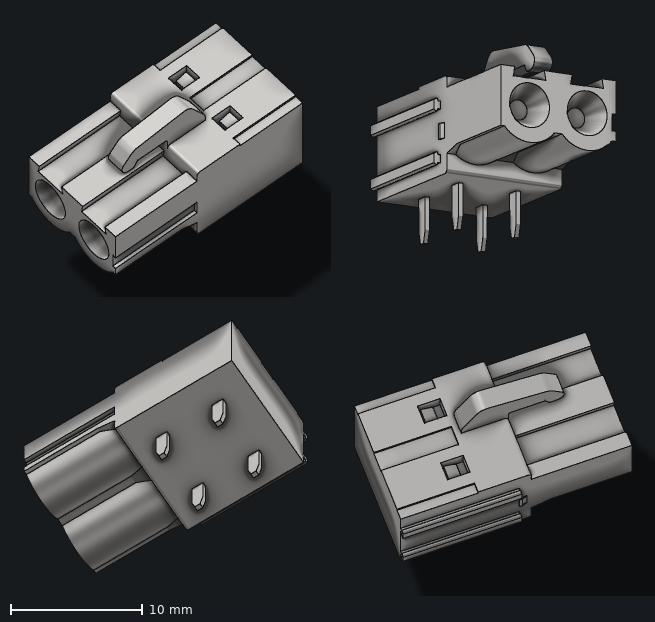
import cadquery as cq


LENGTH = 18.85
BODY_WIDTH = 10.16
PITCH = BODY_WIDTH / 2
POLE_X = (-PITCH / 2, PITCH / 2)
SIDE_X = BODY_WIDTH / 2

BODY_FRONT = 8.2
BODY_HEIGHT = 7.7
BODY_EDGE_RADIUS = 0.32

PAD_WIDTH = 3.47
PAD_FRONT = 12.54
PAD_HEIGHT = 0.19
WINDOW_WIDTH = 1.5
WINDOW_LENGTH = 1.83
WINDOW_DEPTH = 1.13
CONTACT_WIDTH = 1.23
CONTACT_LENGTH = 1.04
CONTACT_REAR_GAP = 0.17
CONTACT_REAR_DROP = 0.47
CONTACT_FRONT_DROP = 0.77

NOSE_TOP = 6.75
NOSE_BOTTOM = 1.96
POLE_Z = 3.86
SLEEVE_RADIUS = 2.92
WEB_FLAT = 0.75
WEB_SLOPE = 0.43
RAMP_LENGTH = 1.53
RAMP_DROP = 0.43

FUNNEL_MOUTH_RADIUS = 1.75
FUNNEL_END_RADIUS = 0.8
FUNNEL_DEPTH = 1.75

CHANNEL_TOP_WIDTH = 2.6
CHANNEL_FLOOR_WIDTH = 2.87
CHANNEL_DEPTH = 0.75

CATCH_Z = 3.43
CATCH_HEIGHT = 1.23
CATCH_DEPTH = 0.15
CATCH_FRONT = 8.55
CATCH_CREST = 9.0
CATCH_REAR = 9.22
GROOVE_HEIGHT = 1.32
GROOVE_DEPTH = 0.32
RAIL_Z = (1.32, 5.55)
RAIL_FRONT = 9.2
RAIL_REACH = 0.57
RAIL_HEAD_HEIGHT = 1.02
RAIL_NECK_HEIGHT = 0.62
RAIL_NECK_REACH = 0.19
RAIL_SHOULDER_REACH = 0.28
RAIL_CREST_HEIGHT = 0.75

LATCH_WIDTH = 1.6
LATCH_ARM_UNDERSIDE = 8.45
LATCH_HOOK_BOTTOM = 7.88
LATCH_REAR = 12.03
LATCH_TOP_RADIUS = 1.0
LATCH_BEND_RADIUS = 1.5
LATCH_TIP_RADIUS = 0.66
LATCH_ROOT_RADIUS = 0.23
LATCH_CORNERS = [
    ((BODY_FRONT, NOSE_TOP), 0),
    ((LATCH_REAR, NOSE_TOP), 0),
    ((LATCH_REAR, 8.33), LATCH_TOP_RADIUS),
    ((10.42, 10.67), LATCH_TOP_RADIUS),
    ((5.03, 10.05), 0),
    ((4.71, 9.92), LATCH_BEND_RADIUS),
    ((2.75, LATCH_HOOK_BOTTOM), LATCH_TIP_RADIUS),
    ((4.85, LATCH_HOOK_BOTTOM), 0),
    ((5.2, LATCH_ARM_UNDERSIDE), 0),
    ((BODY_FRONT, LATCH_ARM_UNDERSIDE), LATCH_ROOT_RADIUS),
]

PIN_Y = (10.97, 10.97 + PITCH)
PIN_THICKNESS = 0.4
PIN_WIDTH = 1.0
PIN_TIP_WIDTH = 0.49
PIN_LENGTH = 3.6
PIN_TAPER = 1.0


def box(x0, x1, y0, y1, z0, z1):
    return cq.Workplane("XY").box(x1 - x0, y1 - y0, z1 - z0, centered=False).translate((x0, y0, z0))


def along_y(points, y0, y1):
    """Prism of an (x, z) outline between two Y positions."""
    return cq.Workplane("XZ", origin=(0, y0, 0)).polyline(points).close().extrude(y0 - y1)


def along_x(points, x0, x1):
    """Prism of a (y, z) outline between two X positions."""
    return cq.Workplane("YZ", origin=(x0, 0, 0)).polyline(points).close().extrude(x1 - x0)


def rear_body():
    body = box(-SIDE_X, SIDE_X, BODY_FRONT, LENGTH, 0, BODY_HEIGHT)
    body = body.faces("<Y").edges("|X").fillet(BODY_EDGE_RADIUS)
    body = body.cut(box(-SIDE_X, SIDE_X, PAD_FRONT, LENGTH, BODY_HEIGHT - PAD_HEIGHT, BODY_HEIGHT))
    for x in POLE_X:
        half = PAD_WIDTH / 2
        pad = box(x - half, x + half, PAD_FRONT, LENGTH, BODY_HEIGHT - PAD_HEIGHT, BODY_HEIGHT)
        body = body.union(pad)
    return body


def test_window(x):
    """Opening in the pad around a contact block that keeps a top sloping down to the front."""
    rear = PAD_FRONT + WINDOW_LENGTH
    floor = BODY_HEIGHT - WINDOW_DEPTH
    opening = box(x - WINDOW_WIDTH / 2, x + WINDOW_WIDTH / 2, PAD_FRONT, rear, floor, BODY_HEIGHT)
    contact_rear = rear - CONTACT_REAR_GAP
    contact_front = contact_rear - CONTACT_LENGTH
    contact_outline = [
        (contact_front, floor),
        (contact_rear, floor),
        (contact_rear, BODY_HEIGHT - CONTACT_REAR_DROP),
        (contact_front, BODY_HEIGHT - CONTACT_FRONT_DROP),
    ]
    return opening.cut(along_x(contact_outline, x - CONTACT_WIDTH / 2, x + CONTACT_WIDTH / 2))


def plug_nose():
    nose = box(-SIDE_X, SIDE_X, 0, BODY_FRONT, NOSE_BOTTOM, NOSE_TOP)
    web_half = PITCH / 2 - WEB_FLAT / 2
    for x in POLE_X:
        sleeve = cq.Workplane("XZ", origin=(x, 0, POLE_Z)).circle(SLEEVE_RADIUS).extrude(-BODY_FRONT)
        sleeve = sleeve.intersect(box(x - PITCH / 2, x + PITCH / 2, 0, BODY_FRONT, 0, NOSE_TOP))
        gusset = [
            (x - web_half, NOSE_BOTTOM),
            (x + web_half, NOSE_BOTTOM),
            (x + web_half - WEB_SLOPE, NOSE_BOTTOM - WEB_SLOPE),
            (x - web_half + WEB_SLOPE, NOSE_BOTTOM - WEB_SLOPE),
        ]
        nose = nose.union(sleeve).union(along_y(gusset, 0, BODY_FRONT))
    ramp = [
        (BODY_FRONT - RAMP_LENGTH, NOSE_BOTTOM),
        (BODY_FRONT, NOSE_BOTTOM),
        (BODY_FRONT, NOSE_BOTTOM - RAMP_DROP),
    ]
    return nose.union(along_x(ramp, -SIDE_X, SIDE_X))


def funnel(x):
    mouth = cq.Workplane("XZ", origin=(x, 0, POLE_Z)).circle(FUNNEL_MOUTH_RADIUS)
    return mouth.workplane(offset=-FUNNEL_DEPTH).circle(FUNNEL_END_RADIUS).loft()


def dovetail_channel(x):
    floor = NOSE_TOP - CHANNEL_DEPTH
    outline = [
        (x - CHANNEL_TOP_WIDTH / 2, NOSE_TOP),
        (x + CHANNEL_TOP_WIDTH / 2, NOSE_TOP),
        (x + CHANNEL_FLOOR_WIDTH / 2, floor),
        (x - CHANNEL_FLOOR_WIDTH / 2, floor),
    ]
    return along_y(outline, 0, BODY_FRONT)


def side_groove():
    z0 = CATCH_Z - GROOVE_HEIGHT / 2
    return box(SIDE_X - GROOVE_DEPTH, SIDE_X, 0, BODY_FRONT, z0, z0 + GROOVE_HEIGHT)


def side_catch():
    outline = [
        (-SIDE_X, CATCH_FRONT),
        (-SIDE_X - CATCH_DEPTH, CATCH_CREST),
        (-SIDE_X - CATCH_DEPTH, CATCH_REAR),
        (-SIDE_X, CATCH_REAR),
    ]
    base = cq.Workplane("XY", origin=(0, 0, CATCH_Z - CATCH_HEIGHT / 2))
    return base.polyline(outline).close().extrude(CATCH_HEIGHT)


def side_rail(z):
    """T-shaped rail whose head curves from flat shoulders down to a narrower crest."""
    shoulder = RAIL_HEAD_HEIGHT / 2
    crest = RAIL_CREST_HEIGHT / 2
    neck = RAIL_NECK_HEIGHT / 2
    curve_run = RAIL_REACH - RAIL_SHOULDER_REACH
    curve_drop = shoulder - crest
    curve_radius = (curve_run**2 + curve_drop**2) / (2 * curve_drop)
    outline = (
        cq.Workplane("XZ", origin=(-SIDE_X, RAIL_FRONT, z))
        .moveTo(0, neck)
        .lineTo(-RAIL_NECK_REACH, neck)
        .lineTo(-RAIL_SHOULDER_REACH, shoulder)
        .radiusArc((-RAIL_REACH, crest), -curve_radius)
        .lineTo(-RAIL_REACH, -crest)
        .radiusArc((-RAIL_SHOULDER_REACH, -shoulder), -curve_radius)
        .lineTo(-RAIL_NECK_REACH, -neck)
        .lineTo(0, -neck)
        .close()
    )
    return outline.extrude(RAIL_FRONT - LENGTH)


def latch():
    outline = [corner for corner, radius in LATCH_CORNERS]
    hook = along_x(outline, 0, LATCH_WIDTH)
    for (y, z), radius in LATCH_CORNERS:
        if radius > 0:
            edge = cq.selectors.NearestToPointSelector((LATCH_WIDTH / 2, y, z))
            hook = hook.edges(edge).fillet(radius)
    return hook


def solder_pin(x, y):
    outline = [
        (y - PIN_WIDTH / 2, 0),
        (y + PIN_WIDTH / 2, 0),
        (y + PIN_WIDTH / 2, PIN_TAPER - PIN_LENGTH),
        (y + PIN_TIP_WIDTH / 2, -PIN_LENGTH),
        (y - PIN_TIP_WIDTH / 2, -PIN_LENGTH),
        (y - PIN_WIDTH / 2, PIN_TAPER - PIN_LENGTH),
    ]
    return along_x(outline, x - PIN_THICKNESS / 2, x + PIN_THICKNESS / 2)


result = rear_body().union(plug_nose()).union(latch()).union(side_catch()).cut(side_groove())
for rail_z in RAIL_Z:
    result = result.union(side_rail(rail_z))

for pole_x in POLE_X:
    result = result.cut(test_window(pole_x)).cut(funnel(pole_x)).cut(dovetail_channel(pole_x))
    for pin_y in PIN_Y:
        result = result.union(solder_pin(pole_x, pin_y))